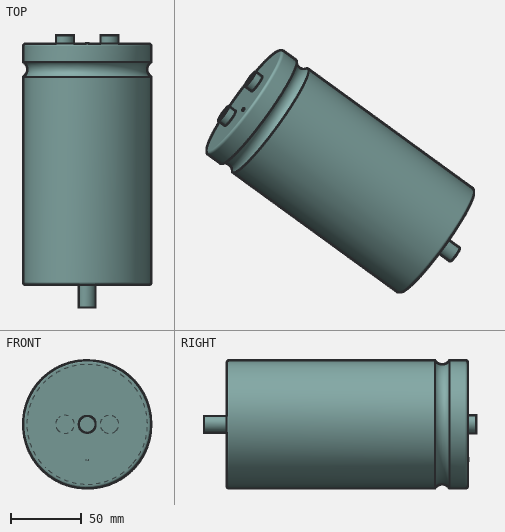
import cadquery as cq

can_diameter = 91.0
can_length = 171.0
can_edge_radius = 2.0

groove_center_from_end = 18.3
groove_width = 10.5
groove_depth = 2.9

stud_diameter = 12.0
stud_length = 16.0

terminal_diameter = 13.0
terminal_height = 6.0
terminal_spacing = 31.5

vent_diameter = 2.0
vent_height = 0.5
vent_drop = 25.0

can_radius = can_diameter / 2


def rod_along_y(diameter, y_start, length, x=0.0, z=0.0):
    """Solid cylinder running from y_start toward +Y."""
    return cq.Workplane("XY").add(
        cq.Solid.makeCylinder(diameter / 2, length, cq.Vector(x, y_start, z), cq.Vector(0, 1, 0))
    )


def make_can():
    """Revolved can with the rolled groove, both end edges rounded."""
    groove_y = can_length - groove_center_from_end
    groove_start = groove_y - groove_width / 2
    groove_end = groove_y + groove_width / 2
    groove_floor = (can_radius - groove_depth, groove_y)
    profile = (
        cq.Workplane("XY")
        .moveTo(0, 0)
        .lineTo(can_radius, 0)
        .lineTo(can_radius, groove_start)
        .threePointArc(groove_floor, (can_radius, groove_end))
        .lineTo(can_radius, can_length)
        .lineTo(0, can_length)
        .close()
    )
    can = profile.revolve(360, (0, 0, 0), (0, 1, 0))
    return can.faces("<Y or >Y").edges().fillet(can_edge_radius)


def make_terminals():
    """Two terminals side by side along X."""
    offset = terminal_spacing / 2
    left = rod_along_y(terminal_diameter, can_length, terminal_height, x=-offset)
    right = rod_along_y(terminal_diameter, can_length, terminal_height, x=offset)
    return left.union(right)


stud = rod_along_y(stud_diameter, -stud_length, stud_length)
vent = rod_along_y(vent_diameter, can_length, vent_height, z=-vent_drop)

result = make_can().union(stud).union(make_terminals()).union(vent)